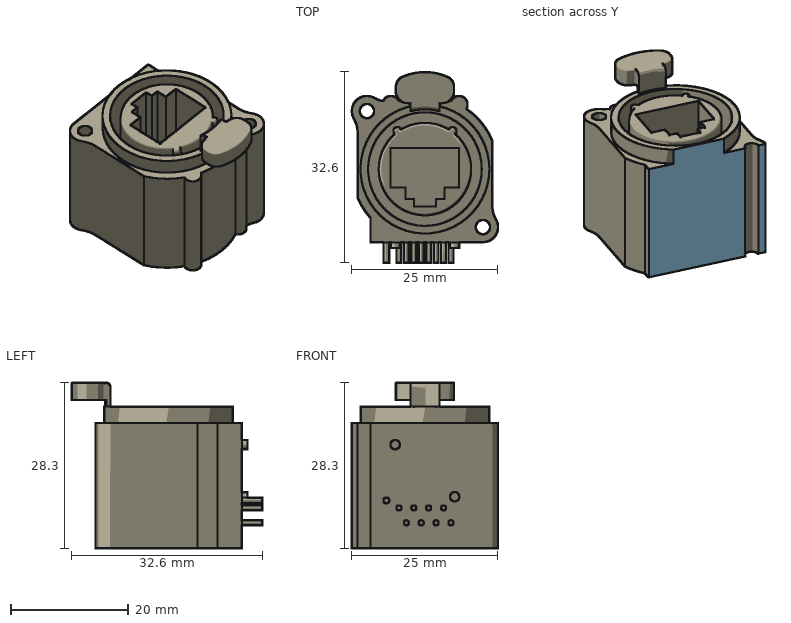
import cadquery as cq
import math


body_height = 21.4
half_size = 12.5
round_radius = 12.5
flat_distance = 11.5
notch_x = -9.3
ear_radius = 2.6
ear_offset = half_size - ear_radius
ear_blend_radius = 5.0
screw_hole_diameter = 2.4
lobe_radius = 1.5
lobe_x = 5.8
lobe_y = half_size - lobe_radius

collar_radius = 11.0
collar_inner_radius = 9.7
collar_top = 24.2
cavity_depth = 12.0
core_radius = 7.9
core_edge_fillet = 0.5
key_radius = 0.67
key_x = 4.73
key_y = 6.5

jack_top = 3.6
jack_half_widths = (5.85, 3.3, 1.875)
jack_step_bottoms = (-3.15, -5.1, -6.4)

latch_top = 28.3
latch_thickness = 3.0
latch_half_width = 5.0
latch_back = 16.58
latch_back_radius = 9.5
latch_side_back = 13.95
latch_front_corner_radius = 2.0
latch_neck_radius = 0.5
latch_edge_fillet = 0.25
stem_half_width = latch_half_width - latch_front_corner_radius - latch_neck_radius
stem_inner_radius = 10.2
stem_outer_radius = 10.87
stem_bend_radius = 0.85

cap_bottom = latch_top - latch_thickness
cap_front_radius = stem_inner_radius + stem_bend_radius
neck_y = math.sqrt(cap_front_radius**2 - stem_half_width**2)
front_y = neck_y + latch_neck_radius
latch_side_front = front_y + latch_front_corner_radius

pitch = 1.27
contact_count = 8
contact_diameter = 0.87
contact_length = 3.5
lower_row_z = 4.36
upper_row_z = lower_row_z + 2 * pitch
shield_pin_diameter = 1.0
shield_pin_x = -6.58
shield_pin_z = lower_row_z + 3 * pitch
post_diameter = 1.6
post_length = 1.0
post_x = 4 * pitch
lower_post_z = lower_row_z + 3.5 * pitch
upper_post_z = lower_post_z + 7 * pitch


def polar(center, radius, angle):
    """Point on a circle, with the angle in radians."""
    return (center[0] + radius * math.cos(angle), center[1] + radius * math.sin(angle))


def mirror_diagonal(point):
    """Mirror a point in the diagonal that runs through both ears."""
    return (-point[1], -point[0])


def opposite(point):
    """Turn a point half a turn about the axis."""
    return (-point[0], -point[1])


def make_body():
    ear_center = (-ear_offset, ear_offset)
    blend_x = -flat_distance - ear_blend_radius
    center_distance = ear_radius + ear_blend_radius
    blend_y = ear_offset - math.sqrt(center_distance**2 - (blend_x + ear_offset) ** 2)
    blend_center = (blend_x, blend_y)
    join_angle = math.atan2(ear_offset - blend_y, -ear_offset - blend_x)

    flat_end = (-flat_distance, blend_y)
    blend_middle = polar(blend_center, ear_blend_radius, join_angle / 2)
    ear_join = polar(blend_center, ear_blend_radius, join_angle)
    ear_tip = polar(ear_center, ear_radius, math.radians(135))

    opposite_ear_center = opposite(ear_center)
    ear_base = (ear_offset, -half_size)
    opposite_tip = polar(opposite_ear_center, ear_radius, math.radians(-45))

    round_end = math.sqrt(round_radius**2 - flat_distance**2)
    notch_y = -math.sqrt(round_radius**2 - notch_x**2)
    notch_angle = math.atan2(notch_y, notch_x)
    left_round_angle = math.atan2(-round_end, -flat_distance)
    left_round_middle = polar((0, 0), round_radius, (notch_angle + left_round_angle) / 2)

    body = (
        cq.Workplane("XY")
        .moveTo(notch_x, -half_size)
        .lineTo(*ear_base)
        .threePointArc(opposite_tip, opposite(ear_join))
        .threePointArc(opposite(blend_middle), opposite(flat_end))
        .lineTo(flat_distance, round_end)
        .threePointArc((0, round_radius), (-round_end, flat_distance))
        .lineTo(*mirror_diagonal(flat_end))
        .threePointArc(mirror_diagonal(blend_middle), mirror_diagonal(ear_join))
        .threePointArc(ear_tip, ear_join)
        .threePointArc(blend_middle, flat_end)
        .lineTo(-flat_distance, -round_end)
        .threePointArc(left_round_middle, (notch_x, notch_y))
        .close()
        .extrude(body_height)
    )
    lobes = (
        cq.Workplane("XY")
        .pushPoints([(-lobe_x, lobe_y), (lobe_x, lobe_y)])
        .circle(lobe_radius)
        .extrude(body_height)
    )
    collar = cq.Workplane("XY").circle(collar_radius).extrude(collar_top)
    return body.union(lobes).union(collar)


def make_screw_holes():
    return (
        cq.Workplane("XY")
        .pushPoints([(-ear_offset, ear_offset), (ear_offset, -ear_offset)])
        .circle(screw_hole_diameter / 2)
        .extrude(body_height)
    )


def make_collar_cavity():
    floor = cq.Workplane("XY").workplane(offset=collar_top - cavity_depth)
    return floor.circle(collar_inner_radius).extrude(cavity_depth)


def make_core():
    """Round core with two small keys on its rim, standing on the cavity floor."""
    floor = cq.Workplane("XY").workplane(offset=collar_top - cavity_depth)
    core = floor.circle(core_radius).extrude(cavity_depth)
    keys = floor.pushPoints([(-key_x, key_y), (key_x, key_y)]).circle(key_radius).extrude(cavity_depth)
    return core.union(keys).faces(">Z").edges().fillet(core_edge_fillet)


def make_jack_opening():
    floor = cq.Workplane("XY").workplane(offset=collar_top - cavity_depth)
    opening = None
    for half_width, bottom in zip(jack_half_widths, jack_step_bottoms):
        step = (
            floor.center(0, (jack_top + bottom) / 2)
            .rect(2 * half_width, jack_top - bottom)
            .extrude(cavity_depth)
        )
        opening = step if opening is None else opening.union(step)
    return opening


def make_stem_slab(bottom, back):
    """Block of the stem's width up to the lever top, its front face concentric with the collar."""
    height = latch_top - bottom
    slab = (
        cq.Workplane("XY")
        .workplane(offset=bottom)
        .center(0, back / 2)
        .rect(2 * stem_half_width, back)
        .extrude(height)
    )
    hollow = cq.Workplane("XY").workplane(offset=bottom).circle(stem_inner_radius).extrude(height)
    return slab.cut(hollow)


def mirror_left(point):
    """Mirror a point in the Y axis."""
    return (-point[0], point[1])


def make_latch_cap():
    """Rounded finger pad with a softened upper rim."""
    back_center_y = latch_back - latch_back_radius
    rise = latch_side_back - back_center_y
    corner_radius = (latch_back_radius**2 - latch_half_width**2 - rise**2) / (
        2 * (latch_back_radius - latch_half_width)
    )
    corner_center = (latch_half_width - corner_radius, latch_side_back)
    corner_angle = math.atan2(rise, corner_center[0])
    corner_middle = polar(corner_center, corner_radius, corner_angle / 2)
    corner_end = polar(corner_center, corner_radius, corner_angle)

    front_corner_center = (latch_half_width - latch_front_corner_radius, latch_side_front)
    front_middle = polar(front_corner_center, latch_front_corner_radius, math.radians(-45))
    neck_center = (front_corner_center[0], neck_y)
    neck_middle = polar(neck_center, latch_neck_radius, math.radians(135))

    cap = (
        cq.Workplane("XY")
        .workplane(offset=cap_bottom)
        .moveTo(stem_half_width, neck_y)
        .threePointArc(neck_middle, (front_corner_center[0], front_y))
        .threePointArc(front_middle, (latch_half_width, latch_side_front))
        .lineTo(latch_half_width, latch_side_back)
        .threePointArc(corner_middle, corner_end)
        .threePointArc((0, latch_back), mirror_left(corner_end))
        .threePointArc(mirror_left(corner_middle), (-latch_half_width, latch_side_back))
        .lineTo(-latch_half_width, latch_side_front)
        .threePointArc(mirror_left(front_middle), (-front_corner_center[0], front_y))
        .threePointArc(mirror_left(neck_middle), (-stem_half_width, neck_y))
        .threePointArc((0, cap_front_radius), (stem_half_width, neck_y))
        .close()
        .extrude(latch_thickness)
    )
    front_edge = cq.selectors.NearestToPointSelector((0, cap_front_radius, latch_top))
    rim_arcs = cq.selectors.TypeSelector("CIRCLE") - front_edge
    return cap.faces(">Z").edges(rim_arcs).fillet(latch_edge_fillet)


def make_latch():
    """Stem standing on the collar, bent over at the top into the finger pad."""
    stem_height = cap_bottom - collar_top
    stem_back = cq.Workplane("XY").workplane(offset=collar_top).circle(stem_outer_radius).extrude(stem_height)
    stem = make_stem_slab(collar_top, latch_side_front).intersect(stem_back)
    neck = make_stem_slab(cap_bottom, latch_side_front)
    bend_edge = cq.selectors.NearestToPointSelector((0, stem_inner_radius, latch_top))
    return neck.union(stem).edges(bend_edge).fillet(stem_bend_radius).union(make_latch_cap())


def make_mount_pin(x, z, diameter, length):
    """Round pin that projects from the mounting side along -Y."""
    return (
        cq.Workplane("XZ", origin=(x, -half_size, z))
        .circle(diameter / 2)
        .extrude(length)
    )


def make_mount_pins():
    pins = make_mount_pin(shield_pin_x, shield_pin_z, shield_pin_diameter, contact_length)
    for index in range(contact_count):
        x = (index - (contact_count - 1) / 2) * pitch
        z = lower_row_z if index % 2 else upper_row_z
        pins = pins.union(make_mount_pin(x, z, contact_diameter, contact_length))
    for x, z in ((-post_x, upper_post_z), (post_x, lower_post_z)):
        pins = pins.union(make_mount_pin(x, z, post_diameter, post_length))
    return pins


housing = make_body().cut(make_screw_holes()).cut(make_collar_cavity())
core = make_core().cut(make_jack_opening())
result = housing.union(core).union(make_latch()).union(make_mount_pins())